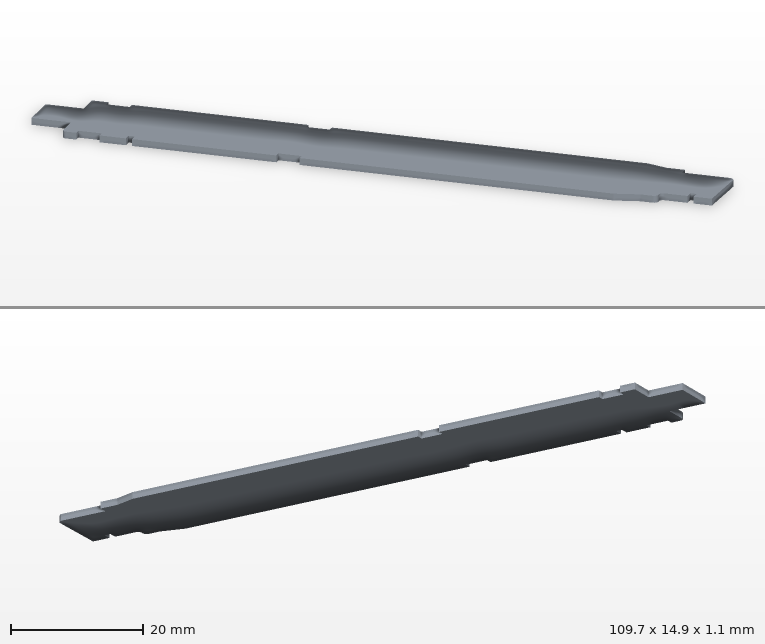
import cadquery as cq

length = 109.7
width = 14.9
thickness = 1.1
left = -length / 2
right = length / 2
top = width / 2
bottom = -width / 2

tongue_top = top - 4.0
tongue_bottom = bottom + 4.3
upper_shoulder_x = left + 6.0
lower_shoulder_x = left + 6.4

upper_taper_start_x = left + 95.0
upper_taper_end_x = left + 98.3
lower_taper_start_x = left + 94.6
lower_taper_end_x = left + 98.6
neck_end_x = left + 101.2
neck_inset = 1.0
end_tongue_top = top - 2.3
end_tongue_bottom = bottom + 2.6
end_chamfer = 0.5
end_slant = 0.2

notch_offsets = (8.7, 40.7)
notch_length = 3.7
notch_depth = 1.0

slot_width = 1.0
slot_depth = 1.3
body_slot_x = left + 17.1
tongue_slot_x = left + 106.0

corner_radius = 0.7


def plate():
    """Outline of the plate, clockwise from the lower left of the left tongue."""
    outline = [
        (left, tongue_bottom),
        (left, tongue_top),
        (upper_shoulder_x, tongue_top),
        (upper_shoulder_x, top),
        (upper_taper_start_x, top),
        (upper_taper_end_x, top - neck_inset),
        (neck_end_x, top - neck_inset),
        (neck_end_x, end_tongue_top),
        (right - end_chamfer, end_tongue_top),
        (right, end_tongue_top - end_chamfer),
        (right - end_slant, end_tongue_bottom),
        (neck_end_x, end_tongue_bottom),
        (neck_end_x, bottom + neck_inset),
        (lower_taper_end_x, bottom + neck_inset),
        (lower_taper_start_x, bottom),
        (lower_shoulder_x, bottom),
        (lower_shoulder_x, tongue_bottom),
    ]
    return cq.Workplane("XY").polyline(outline).close().extrude(thickness)


def edge_cutter(center_x, edge_y, size_x, depth):
    """Block centred on an edge so that half of it cuts into the plate."""
    return cq.Workplane("XY").center(center_x, edge_y).rect(size_x, 2 * depth).extrude(thickness)


def round_corner(body, x, y, radius):
    """Round the vertical edge that stands at (x, y)."""
    corner = cq.selectors.NearestToPointSelector((x, y, thickness / 2))
    return body.edges("|Z").edges(corner).fillet(radius)


result = plate()

result = round_corner(result, lower_shoulder_x, bottom, corner_radius)
result = round_corner(result, neck_end_x, bottom + neck_inset, corner_radius)
result = round_corner(result, neck_end_x, end_tongue_bottom, corner_radius)

for offset in notch_offsets:
    for edge_y in (top, bottom):
        notch_x = left + offset + notch_length / 2
        result = result.cut(edge_cutter(notch_x, edge_y, notch_length, notch_depth))

result = result.cut(edge_cutter(body_slot_x, bottom, slot_width, slot_depth))
result = result.cut(edge_cutter(tongue_slot_x, end_tongue_bottom, slot_width, slot_depth))